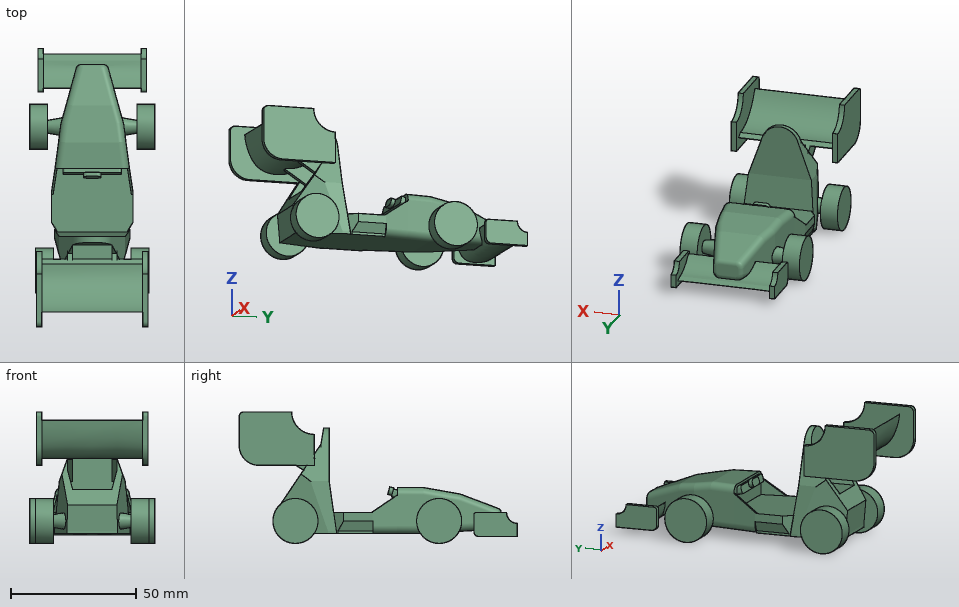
import cadquery as cq
import math


WHEEL_RADIUS = 9.0
WHEEL_WIDTH = 7.2
FRONT_WHEEL_Y = 16.7
REAR_WHEEL_Y = -40.65
FRONT_TRACK_HALF = 25.0
REAR_TRACK_HALF = 22.65
AXLE_TIP_RADIUS = 2.6
AXLE_ROOT_RADIUS = 3.8
AXLE_LENGTH = 6.8

BOTTOM_Z = 4.0
FLOOR_Z = 12.4
TOP_Z = 22.4
EDGE_RADIUS = 3.0

NOSE_TIP_Y = 41.5
NOSE_TIP_HALF = 6.0
NOSE_TIP_TOP_Z = 13.6
NOSE_TIP_BOTTOM_Z = 5.8
NOSE_ROUND = 2.0
NOSE_BEND_Y = 25.1
NOSE_BEND_Z = 19.8
BONNET_Y = 10.4
PLAN_BEND_Y = 18.0
PLAN_BEND_HALF = 12.5
BULKHEAD_HALF = 14.9
TUB_HALF = 16.35
TUB_START_Y = -9.7
TUB_TAPER_Y = -21.4
TUB_END_Y = -26.0
TUB_TAPER_SLOPE = 0.64
SILL_Z = 9.0
SILL_SLOPE = 0.3625
WALL_THICKNESS = 0.85
WALL_END_Y = -10.3

DASH_LENGTH = 23.2
DASH_HEIGHT = 3.3
DASH_DEPTH = 2.0
DASH_CORNER = 0.9
DASH_TILT = -15.0
DASH_CENTRE_Z = 19.7
STEERING_LENGTH = 7.1
STEERING_RISE = 0.5
STEERING_HEIGHT = 3.2
STEERING_DEPTH = 1.7

COVER_FOOT_HALF = 15.1
COVER_FOOT_Z = 5.0
COVER_FOOT_Y = -24.3
COVER_SHOULDER_HALF = 13.2
COVER_SHOULDER_Z = 24.8
HOOP_FRONT_Y = -27.1
HOOP_TOP_Z = 46.2
HOOP_TOP_Y = -29.4
HOOP_RADIUS = 7.8
HOOP_BASE_Y = -30.5
HOOP_BASE_Z = 39.6
TAIL_Y = -46.8
TAIL_TOP_Z = 15.4
TAIL_FOOT_Y = -45.8
TAIL_TAPER_Y = -27.6
TAIL_TAPER = 0.275
POCKET_FLOOR_Z = 21.5
POCKET_HALF = 7.8

OVERALL_LENGTH = 111.07
REAR_PLATE_OUTER = 22.3
REAR_PLATE_FRONT_Y = -33.1
REAR_PLATE_REAR_Y = -63.13
REAR_PLATE_BOTTOM_Z = 31.15
REAR_PLATE_TOP_Z = 52.58
FRONT_PLATE_OUTER = 21.7
FRONT_PLATE_FRONT_Y = REAR_PLATE_REAR_Y + OVERALL_LENGTH
FRONT_PLATE_REAR_Y = 30.5
FRONT_PLATE_BOTTOM_Z = 2.75
FRONT_PLATE_TOP_Z = 12.4
PLATE_THICKNESS = 2.2

REAR_SCOOP = 9.0
REAR_TOP_ROUND = 2.0
REAR_BOTTOM_ROUND = 8.0
FRONT_SCOOP = 4.3
FRONT_TOP_ROUND = 1.1
FRONT_BOTTOM_ROUND = 2.1
REAR_WING_NOSE = (-36.05, 36.0)
REAR_WING_CREASE = (-38.1, 37.4)
REAR_WING_HOLLOW = (-49.0, 40.3)
REAR_WING_TAIL = (-57.2, 49.2)
REAR_WING_BELLY = [(-55.4, 42.0), (-51.4, 36.2), (-44.0, 33.9)]
FRONT_WING_NOSE = (45.8, 5.0)
FRONT_WING_CREASE = (43.1, 5.8)
FRONT_WING_HOLLOW = (37.0, 7.5)
FRONT_WING_TAIL = (32.0, 11.5)
FRONT_WING_BELLY = [(32.8, 7.6), (34.8, 4.7), (39.5, 3.4)]

STRUT_OUTER = 9.9
STRUT_RAKE = 0.64
STRUT_HEEL_Y = -37.65
STRUT_HEEL_Z = 29.4
STRUT_ROOT_Y = -31.6
STRUT_ROOT_TOP_Z = 33.2
STRUT_END_Y = -44.0


def extrude_across(outline, half_width):
    """Extrude a Y-Z wire drawn on the mid-plane to the same distance on both sides."""
    return outline.extrude(2 * half_width).translate((-half_width, 0, 0))


def mirrored(solid):
    """The solid together with its mirror image on the other side of the mid-plane."""
    return solid.union(solid.mirror("YZ"))


def wheel_pair(track_half, axle_y):
    inner = track_half - WHEEL_WIDTH
    wheel = (
        cq.Workplane("YZ", origin=(inner, axle_y, WHEEL_RADIUS))
        .circle(WHEEL_RADIUS)
        .extrude(WHEEL_WIDTH)
    )
    axle = (
        cq.Workplane("YZ", origin=(inner, axle_y, WHEEL_RADIUS))
        .circle(AXLE_TIP_RADIUS)
        .workplane(offset=-AXLE_LENGTH)
        .circle(AXLE_ROOT_RADIUS)
        .loft()
    )
    return mirrored(wheel.union(axle))


def wall_half_width(y):
    """Half width of the body beside the cockpit, from the bulkhead back to the tub."""
    return BULKHEAD_HALF + (TUB_HALF - BULKHEAD_HALF) * y / TUB_START_Y


def nose_and_cockpit():
    """Bonnet, nose and front cockpit floor with rounded long edges."""
    side = (
        cq.Workplane("YZ")
        .polyline([
            (TUB_START_Y, BOTTOM_Z),
            (BONNET_Y, BOTTOM_Z),
            (NOSE_TIP_Y, NOSE_TIP_BOTTOM_Z),
            (NOSE_TIP_Y, NOSE_TIP_TOP_Z),
            (NOSE_BEND_Y, NOSE_BEND_Z),
            (BONNET_Y, TOP_Z),
            (0, TOP_Z),
            (0, FLOOR_Z),
            (TUB_START_Y, FLOOR_Z),
        ])
        .close()
    )
    right = [
        (NOSE_TIP_HALF, NOSE_TIP_Y),
        (PLAN_BEND_HALF, PLAN_BEND_Y),
        (BULKHEAD_HALF, 0),
        (TUB_HALF, TUB_START_Y),
    ]
    left = [(-x, y) for x, y in reversed(right)]
    plan = cq.Workplane("XY").polyline(right + left).close().extrude(TOP_Z)
    body = extrude_across(side, TUB_HALF).intersect(plan)

    def is_long_edge(edge):
        centre = edge.Center()
        direction = edge.tangentAt(0)
        runs_lengthwise = abs(direction.y) > abs(direction.x)
        return runs_lengthwise and (centre.y > 0 or centre.z < SILL_Z)

    long_edges = [edge for edge in body.edges().vals() if is_long_edge(edge)]
    rounded = body.newObject(long_edges).fillet(EDGE_RADIUS)
    return rounded.faces(">Y").edges(">Z").fillet(NOSE_ROUND)


def cockpit_walls():
    """Thin side walls falling from the bonnet shoulder to the cockpit floor."""
    side = (
        cq.Workplane("YZ")
        .polyline([(0, SILL_Z), (0, TOP_Z - EDGE_RADIUS), (WALL_END_Y, FLOOR_Z), (WALL_END_Y, SILL_Z)])
        .close()
    )
    end_half = wall_half_width(WALL_END_Y)
    strip = (
        cq.Workplane("XY")
        .polyline([
            (BULKHEAD_HALF, 0),
            (end_half, WALL_END_Y),
            (end_half - WALL_THICKNESS, WALL_END_Y),
            (BULKHEAD_HALF - WALL_THICKNESS, 0),
        ])
        .close()
        .extrude(TOP_Z)
    )
    return mirrored(extrude_across(side, TUB_HALF).intersect(strip))


def tub():
    """Rear cockpit floor whose sides are undercut below the sill."""
    foot_half = TUB_HALF - SILL_SLOPE * (SILL_Z - COVER_FOOT_Z)
    end_half = TUB_HALF - TUB_TAPER_SLOPE * (TUB_TAPER_Y - TUB_END_Y)
    right_section = [
        (foot_half, BOTTOM_Z),
        (foot_half, COVER_FOOT_Z),
        (TUB_HALF, SILL_Z),
        (TUB_HALF, FLOOR_Z),
    ]
    left_section = [(-x, z) for x, z in reversed(right_section)]
    block = (
        cq.Workplane("XZ", origin=(0, TUB_START_Y, 0))
        .polyline(right_section + left_section)
        .close()
        .extrude(TUB_START_Y - TUB_END_Y)
    )
    right_plan = [(TUB_HALF, TUB_START_Y), (TUB_HALF, TUB_TAPER_Y), (end_half, TUB_END_Y)]
    left_plan = [(-x, y) for x, y in reversed(right_plan)]
    plan = cq.Workplane("XY").polyline(right_plan + left_plan).close().extrude(FLOOR_Z)
    return block.intersect(plan)


def dashboard():
    """Tilted dash bar on the bulkhead carrying the rounded steering wheel."""
    bar = (
        cq.Workplane("XY")
        .box(DASH_LENGTH, 2 * DASH_DEPTH, DASH_HEIGHT)
        .edges("|Y")
        .fillet(DASH_CORNER)
    )
    steering = (
        cq.Workplane("XZ", origin=(0, -DASH_DEPTH, STEERING_RISE))
        .slot2D(STEERING_LENGTH, STEERING_HEIGHT)
        .extrude(STEERING_DEPTH)
    )
    return (
        bar.union(steering)
        .rotate((0, 0, 0), (1, 0, 0), DASH_TILT)
        .translate((0, 0, DASH_CENTRE_Z))
    )


def engine_cover():
    """Engine cover with the roll hoop at its front and a tapered, sloping tail."""
    side = (
        cq.Workplane("YZ")
        .polyline([
            (COVER_FOOT_Y, BOTTOM_Z),
            (COVER_FOOT_Y, COVER_FOOT_Z),
            (HOOP_FRONT_Y, COVER_SHOULDER_Z),
            (HOOP_FRONT_Y, HOOP_TOP_Z),
            (HOOP_TOP_Y, HOOP_TOP_Z),
            (HOOP_BASE_Y, HOOP_BASE_Z),
            (TAIL_Y, TAIL_TOP_Z),
            (TAIL_FOOT_Y, COVER_FOOT_Z),
            (TAIL_FOOT_Y, BOTTOM_Z),
        ])
        .close()
    )
    hoop_centre_z = HOOP_TOP_Z - HOOP_RADIUS
    drop = hoop_centre_z - COVER_SHOULDER_Z
    reach = math.hypot(COVER_SHOULDER_HALF, drop)
    tangent_angle = math.acos(HOOP_RADIUS / reach) - math.atan2(drop, COVER_SHOULDER_HALF)
    tangent_x = HOOP_RADIUS * math.cos(tangent_angle)
    tangent_z = hoop_centre_z + HOOP_RADIUS * math.sin(tangent_angle)
    face = (
        cq.Workplane("XZ")
        .moveTo(-COVER_FOOT_HALF, BOTTOM_Z)
        .lineTo(COVER_FOOT_HALF, BOTTOM_Z)
        .lineTo(COVER_FOOT_HALF, COVER_FOOT_Z)
        .lineTo(COVER_SHOULDER_HALF, COVER_SHOULDER_Z)
        .lineTo(tangent_x, tangent_z)
        .threePointArc((0, HOOP_TOP_Z), (-tangent_x, tangent_z))
        .lineTo(-COVER_SHOULDER_HALF, COVER_SHOULDER_Z)
        .lineTo(-COVER_FOOT_HALF, COVER_FOOT_Z)
        .close()
        .extrude(-TAIL_Y)
    )
    tail_half = COVER_FOOT_HALF - TAIL_TAPER * (TAIL_TAPER_Y - TAIL_Y)
    plan = (
        cq.Workplane("XY")
        .polyline([
            (-COVER_FOOT_HALF, COVER_FOOT_Y),
            (COVER_FOOT_HALF, COVER_FOOT_Y),
            (COVER_FOOT_HALF, TAIL_TAPER_Y),
            (tail_half, TAIL_Y),
            (-tail_half, TAIL_Y),
            (-COVER_FOOT_HALF, TAIL_TAPER_Y),
        ])
        .close()
        .extrude(HOOP_TOP_Z)
    )
    cover = extrude_across(side, COVER_FOOT_HALF).intersect(face).intersect(plan)
    return cover.cut(cover_pocket())


def cover_pocket():
    """Flat-floored pocket behind the hoop; its side walls lean outwards below the wing struts."""
    length = HOOP_BASE_Y - TAIL_Y
    lean = (STRUT_OUTER - POCKET_HALF) / (STRUT_HEEL_Z - POCKET_FLOOR_Z)
    mouth_half = POCKET_HALF + lean * (HOOP_TOP_Z - POCKET_FLOOR_Z)
    back_plane = cq.Workplane("XZ", origin=(0, HOOP_BASE_Y, 0))
    slot = (
        back_plane
        .moveTo(-POCKET_HALF, POCKET_FLOOR_Z)
        .lineTo(POCKET_HALF, POCKET_FLOOR_Z)
        .lineTo(POCKET_HALF, HOOP_TOP_Z)
        .lineTo(-POCKET_HALF, HOOP_TOP_Z)
        .close()
        .extrude(length)
    )
    leaning_slot = (
        back_plane
        .moveTo(-POCKET_HALF, POCKET_FLOOR_Z)
        .lineTo(POCKET_HALF, POCKET_FLOOR_Z)
        .lineTo(mouth_half, HOOP_TOP_Z)
        .lineTo(-mouth_half, HOOP_TOP_Z)
        .close()
        .extrude(length)
    )
    below_struts = (
        cq.Workplane("YZ")
        .polyline([
            (HOOP_BASE_Y, POCKET_FLOOR_Z),
            (HOOP_BASE_Y, strut_underside(HOOP_BASE_Y)),
            (TAIL_Y, strut_underside(TAIL_Y)),
            (TAIL_Y, POCKET_FLOOR_Z),
        ])
        .close()
    )
    return slot.union(leaning_slot.intersect(extrude_across(below_struts, mouth_half)))


def strut_underside(y):
    """Height of the raked underside of the wing struts."""
    return STRUT_HEEL_Z + STRUT_RAKE * (STRUT_HEEL_Y - y)


def wing_strut_pair():
    """Raked plates that carry the rear wing on the engine cover."""
    strut = (
        cq.Workplane("YZ", origin=(POCKET_HALF, 0, 0))
        .moveTo(STRUT_ROOT_Y, strut_underside(STRUT_ROOT_Y))
        .lineTo(STRUT_ROOT_Y, STRUT_ROOT_TOP_Z)
        .lineTo(*REAR_WING_NOSE)
        .lineTo(STRUT_END_Y, REAR_WING_NOSE[1])
        .lineTo(STRUT_END_Y, strut_underside(STRUT_END_Y))
        .close()
        .extrude(STRUT_OUTER - POCKET_HALF)
    )
    return mirrored(strut)


def wing_blade(nose, crease, hollow, tail, belly, half_span):
    """Crescent blade: concave top, bulging underside and a short rounded nose."""
    outline = (
        cq.Workplane("YZ")
        .moveTo(*crease)
        .threePointArc(hollow, tail)
        .spline(belly + [nose], includeCurrent=True)
        .close()
    )
    return extrude_across(outline, half_span)


def end_plate(outer, front_y, rear_y, bottom_z, top_z, scoop, top_round, bottom_round):
    """End plate with a scooped upper front corner and rounded rear corners."""
    diagonal = math.sqrt(0.5)
    top_inset = top_round * (1 - diagonal)
    bottom_inset = bottom_round * (1 - diagonal)
    return (
        cq.Workplane("YZ", origin=(outer - PLATE_THICKNESS, 0, 0))
        .moveTo(front_y, bottom_z)
        .lineTo(front_y, top_z - scoop)
        .threePointArc((front_y - scoop * diagonal, top_z - scoop * diagonal), (front_y - scoop, top_z))
        .lineTo(rear_y + top_round, top_z)
        .threePointArc((rear_y + top_inset, top_z - top_inset), (rear_y, top_z - top_round))
        .lineTo(rear_y, bottom_z + bottom_round)
        .threePointArc((rear_y + bottom_inset, bottom_z + bottom_inset), (rear_y + bottom_round, bottom_z))
        .close()
        .extrude(PLATE_THICKNESS)
    )


def rear_wing():
    blade = wing_blade(
        REAR_WING_NOSE, REAR_WING_CREASE, REAR_WING_HOLLOW, REAR_WING_TAIL, REAR_WING_BELLY,
        half_span=REAR_PLATE_OUTER - PLATE_THICKNESS / 2,
    )
    plate = end_plate(
        REAR_PLATE_OUTER, REAR_PLATE_FRONT_Y, REAR_PLATE_REAR_Y, REAR_PLATE_BOTTOM_Z, REAR_PLATE_TOP_Z,
        REAR_SCOOP, REAR_TOP_ROUND, REAR_BOTTOM_ROUND,
    )
    return blade.union(mirrored(plate))


def front_wing():
    blade = wing_blade(
        FRONT_WING_NOSE, FRONT_WING_CREASE, FRONT_WING_HOLLOW, FRONT_WING_TAIL, FRONT_WING_BELLY,
        half_span=FRONT_PLATE_OUTER - PLATE_THICKNESS / 2,
    )
    plate = end_plate(
        FRONT_PLATE_OUTER, FRONT_PLATE_FRONT_Y, FRONT_PLATE_REAR_Y, FRONT_PLATE_BOTTOM_Z, FRONT_PLATE_TOP_Z,
        FRONT_SCOOP, FRONT_TOP_ROUND, FRONT_BOTTOM_ROUND,
    )
    return blade.union(mirrored(plate))


parts = [
    cockpit_walls(),
    tub(),
    dashboard(),
    engine_cover(),
    wheel_pair(FRONT_TRACK_HALF, FRONT_WHEEL_Y),
    wheel_pair(REAR_TRACK_HALF, REAR_WHEEL_Y),
    wing_strut_pair(),
    rear_wing(),
    front_wing(),
]
car = nose_and_cockpit()
for part in parts:
    car = car.union(part)
result = car